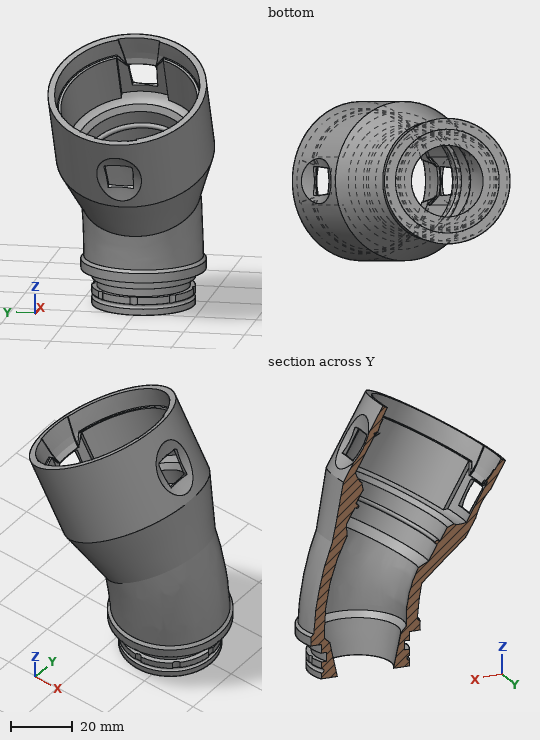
import cadquery as cq
import math

BEND_ANGLE = 30.0
CORNER_HEIGHT = 30.0

RING_RADIUS = 16.8
SEAL_GROOVE_BOTTOM = 2.1
SEAL_GROOVE_WIDTH = 1.5
SEAL_GROOVE_DEPTH = 0.8
NOTCHED_RING_BOTTOM = SEAL_GROOVE_BOTTOM + SEAL_GROOVE_WIDTH
NOTCHED_RING_TOP = 5.95
CLIP_GROOVE_RADIUS = 15.15
CLIP_GROOVE_TOP = 8.85
FLANGE_RADIUS = 20.35
FLANGE_BOTTOM = 11.8
FLANGE_EDGE = 14.9

NOTCH_COUNT = 8
NOTCH_RADIUS = 1.4
NOTCH_DEPTH = 0.7
NOTCH_BOTTOM = 3.0

TUBE_RADIUS = 19.4
TUBE_BORE_RADIUS = 15.7
FLANGE_TOP = FLANGE_EDGE + FLANGE_RADIUS - TUBE_RADIUS
TUBE_END = 8.2
BEND_MIDDLE_OFFSET = 1.35

MOUTH_RADIUS = 11.6
THROAT_RADIUS = 13.9
THROAT_HEIGHT = 12.0
THROAT_STEP = 2.0

CUP_RADIUS = 25.8
CUP_TOP = 55.7
CUP_LENGTH = 28.0
CUP_BOTTOM = CUP_TOP - CUP_LENGTH

RIM_BORE_RADIUS = 23.6
LEAD_IN_RADIUS = 23.35
LEAD_IN_BOTTOM = 49.4
LEDGE_CHAMFER = 0.3
LEDGE_HEIGHT = LEAD_IN_BOTTOM - LEDGE_CHAMFER
SOCKET_RADIUS = 22.2
SHOULDER_INNER_RADIUS = 19.7
SHOULDER_HOLLOW = 8.25
SHOULDER_CENTRE_RADIUS = 17.55
SHOULDER_CENTRE_HEIGHT = 37.97
STEP_RADIUS = 18.15
STEP_TOP = 28.1
LIP_RADIUS = 16.75
LIP_ROUND = 0.7
LIP_HEIGHT = 22.3
LIP_TOP = LIP_HEIGHT + LIP_ROUND
LIP_BOTTOM = LIP_HEIGHT - LIP_ROUND
CHAMBER_RADIUS = 17.8
CHAMBER_BOTTOM = 15.6
FUNNEL_BOTTOM = 12.3

DISH_HEIGHT = 40.1
DISH_SPHERE_RADIUS = 20.5
DISH_SPHERE_OFFSET = 43.9
POCKET_RADIUS = 23.4
POCKET_WIDTH = 15.5
WINDOW_BOTTOM = 35.0
WINDOW_TOP = 44.6
WINDOW_BOTTOM_WIDTH = 8.3
WINDOW_TOP_WIDTH = 9.5
WINDOW_CORNER_RADIUS = 0.8
RAMP_BOTTOM = 47.0
RAMP_TOP_WIDTH = 13.7
RAMP_BOTTOM_WIDTH = 10.6
RAMP_TOP_RADIUS = 24.0
RAMP_MIDDLE_RADIUS = 23.65
RAMP_BOTTOM_RADIUS = 23.4
CATCH_RADIUS = 22.6
CATCH_HEIGHT = 45.2


def turned(profile):
    """Solid of revolution about Z from a closed (radius, height) wire."""
    return profile.close().revolve(360, (0, 0, 0), (0, 1, 0))


def place_on_cup_axis(body):
    """Move a body built about Z onto the tilted cup axis."""
    return body.rotate((0, 0, 0), (0, 1, 0), -BEND_ANGLE).translate((0, 0, CORNER_HEIGHT))


def bend(radius, end):
    """Curved bar from the flange to a height on the cup axis, through three circles of equal size."""
    tilt = math.radians(BEND_ANGLE)
    end_x = -end * math.sin(tilt)
    end_z = CORNER_HEIGHT + end * math.cos(tilt)
    stations = [
        (0, FLANGE_TOP, 0),
        (-BEND_MIDDLE_OFFSET, (FLANGE_TOP + end_z) / 2, tilt / 2),
        (end_x, end_z, tilt),
    ]
    circles = [
        cq.Wire.makeCircle(radius, cq.Vector(x, 0, z), cq.Vector(-math.sin(angle), 0, math.cos(angle)))
        for x, z, angle in stations
    ]
    return cq.Workplane("XY").add(cq.Solid.makeLoft(circles))


def spigot():
    groove_middle = SEAL_GROOVE_BOTTOM + SEAL_GROOVE_WIDTH / 2
    body = turned(
        cq.Workplane("XZ")
        .lineTo(RING_RADIUS, 0)
        .lineTo(RING_RADIUS, SEAL_GROOVE_BOTTOM)
        .threePointArc(
            (RING_RADIUS - SEAL_GROOVE_DEPTH, groove_middle),
            (RING_RADIUS, NOTCHED_RING_BOTTOM),
        )
        .lineTo(RING_RADIUS, NOTCHED_RING_TOP)
        .lineTo(CLIP_GROOVE_RADIUS, NOTCHED_RING_TOP)
        .lineTo(CLIP_GROOVE_RADIUS, CLIP_GROOVE_TOP)
        .lineTo(RING_RADIUS, CLIP_GROOVE_TOP)
        .lineTo(RING_RADIUS, FLANGE_BOTTOM)
        .lineTo(FLANGE_RADIUS, FLANGE_BOTTOM)
        .lineTo(FLANGE_RADIUS, FLANGE_EDGE)
        .lineTo(TUBE_RADIUS, FLANGE_TOP)
        .lineTo(0, FLANGE_TOP)
    )
    notches = (
        cq.Workplane("XY", origin=(0, 0, NOTCH_BOTTOM))
        .polarArray(RING_RADIUS + NOTCH_RADIUS - NOTCH_DEPTH, 0, 360, NOTCH_COUNT)
        .circle(NOTCH_RADIUS)
        .extrude(NOTCHED_RING_TOP - NOTCH_BOTTOM)
    )
    return body.cut(notches)


def spigot_bore():
    return turned(
        cq.Workplane("XZ")
        .lineTo(MOUTH_RADIUS, 0)
        .lineTo(THROAT_RADIUS, THROAT_HEIGHT)
        .lineTo(TUBE_BORE_RADIUS, THROAT_HEIGHT + THROAT_STEP)
        .lineTo(TUBE_BORE_RADIUS, FLANGE_TOP)
        .lineTo(0, FLANGE_TOP)
    )


def cup():
    return turned(
        cq.Workplane("XZ")
        .moveTo(0, TUBE_END)
        .lineTo(TUBE_RADIUS, TUBE_END)
        .lineTo(CUP_RADIUS, CUP_BOTTOM)
        .lineTo(CUP_RADIUS, CUP_TOP)
        .lineTo(0, CUP_TOP)
    )


def shoulder_point(radius):
    """(radius, height) point of the shoulder, a hollow arc about a centre above it."""
    rise = math.sqrt(SHOULDER_HOLLOW**2 - (radius - SHOULDER_CENTRE_RADIUS) ** 2)
    return radius, SHOULDER_CENTRE_HEIGHT - rise


def cup_cavity():
    return turned(
        cq.Workplane("XZ")
        .moveTo(0, FUNNEL_BOTTOM)
        .lineTo(TUBE_BORE_RADIUS, FUNNEL_BOTTOM)
        .lineTo(CHAMBER_RADIUS, CHAMBER_BOTTOM)
        .lineTo(CHAMBER_RADIUS, LIP_BOTTOM)
        .lineTo(LIP_RADIUS + LIP_ROUND, LIP_BOTTOM)
        .threePointArc((LIP_RADIUS, LIP_HEIGHT), (LIP_RADIUS + LIP_ROUND, LIP_TOP))
        .lineTo(STEP_RADIUS, LIP_TOP)
        .lineTo(STEP_RADIUS, STEP_TOP)
        .lineTo(*shoulder_point(SHOULDER_INNER_RADIUS))
        .threePointArc(
            shoulder_point((SHOULDER_INNER_RADIUS + SOCKET_RADIUS) / 2),
            shoulder_point(SOCKET_RADIUS),
        )
        .lineTo(SOCKET_RADIUS, LEDGE_HEIGHT)
        .lineTo(LEAD_IN_RADIUS - LEDGE_CHAMFER, LEDGE_HEIGHT)
        .lineTo(LEAD_IN_RADIUS, LEAD_IN_BOTTOM)
        .lineTo(RIM_BORE_RADIUS, CUP_TOP)
        .lineTo(0, CUP_TOP)
    )


def through_cup(outline):
    """Prism along X through the +X wall of the cup from (y, height) points on one side of centre."""
    mirrored = [(-y, height) for y, height in reversed(outline)]
    return cq.Workplane("YZ").polyline(outline + mirrored).close().extrude(2 * CUP_RADIUS)


def dish():
    """Finger dish, open to the outside of the cup."""
    return cq.Workplane("XY").sphere(DISH_SPHERE_RADIUS).translate((DISH_SPHERE_OFFSET, 0, DISH_HEIGHT))


def pocket():
    """Recess in the socket wall, ending on the shoulder and narrowing to the catch."""
    ring = turned(
        cq.Workplane("XZ")
        .moveTo(0, LEDGE_HEIGHT)
        .lineTo(*shoulder_point(SHOULDER_INNER_RADIUS))
        .threePointArc(
            shoulder_point((SHOULDER_INNER_RADIUS + POCKET_RADIUS) / 2),
            shoulder_point(POCKET_RADIUS),
        )
        .lineTo(POCKET_RADIUS, LEDGE_HEIGHT)
    )
    outline = [
        (POCKET_WIDTH / 2, 0),
        (POCKET_WIDTH / 2, LEDGE_HEIGHT),
        (WINDOW_TOP_WIDTH / 2, CATCH_HEIGHT),
    ]
    return ring.intersect(through_cup(outline))


def window():
    outline = [(WINDOW_BOTTOM_WIDTH / 2, WINDOW_BOTTOM), (WINDOW_TOP_WIDTH / 2, WINDOW_TOP)]
    return through_cup(outline).edges("|X").edges(">Z").fillet(WINDOW_CORNER_RADIUS)


def ramp():
    """Entry ramp from the rim down to the catch above the window."""
    cone = turned(
        cq.Workplane("XZ")
        .moveTo(0, CATCH_HEIGHT)
        .lineTo(CATCH_RADIUS, CATCH_HEIGHT)
        .lineTo(RAMP_BOTTOM_RADIUS, RAMP_BOTTOM)
        .lineTo(RAMP_MIDDLE_RADIUS, LEAD_IN_BOTTOM)
        .lineTo(RAMP_TOP_RADIUS, CUP_TOP)
        .lineTo(0, CUP_TOP)
    )
    outline = [
        (WINDOW_TOP_WIDTH / 2, CATCH_HEIGHT),
        (RAMP_BOTTOM_WIDTH / 2, RAMP_BOTTOM),
        (RAMP_TOP_WIDTH / 2, CUP_TOP),
    ]
    return cone.intersect(through_cup(outline))


def ramp_flanks():
    """Sloping faces beside the ramp that run from the lead-in down to the catch."""
    cone = turned(
        cq.Workplane("XZ")
        .moveTo(0, CATCH_HEIGHT)
        .lineTo(CATCH_RADIUS, CATCH_HEIGHT)
        .lineTo(LEAD_IN_RADIUS, LEAD_IN_BOTTOM)
        .lineTo(0, LEAD_IN_BOTTOM)
    )
    outline = [(WINDOW_TOP_WIDTH / 2, CATCH_HEIGHT), (POCKET_WIDTH / 2, LEAD_IN_BOTTOM)]
    return cone.intersect(through_cup(outline))


def latched_cup():
    opening = dish().union(pocket()).union(window()).union(ramp()).union(ramp_flanks())
    body = cup().cut(cup_cavity())
    for turn in (0, 180):
        body = body.cut(opening.rotate((0, 0, 0), (0, 0, 1), turn))
    return body


inlet = spigot().cut(spigot_bore())
outer = inlet.union(bend(TUBE_RADIUS, TUBE_END)).union(place_on_cup_axis(latched_cup()))
result = outer.cut(bend(TUBE_BORE_RADIUS, FUNNEL_BOTTOM))